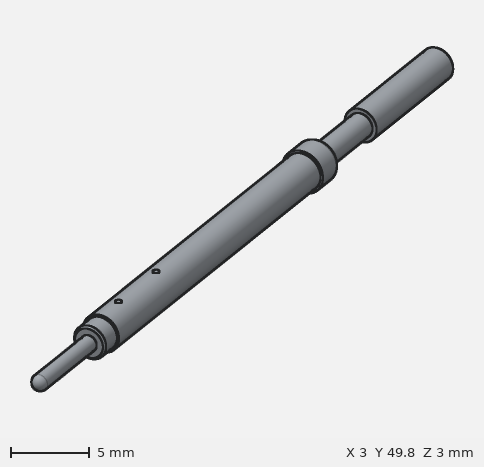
import cadquery as cq
import math


total_length = 49.8
collar_radius = 3.0 / 2

tail_radius = 2.36 / 2
neck_radius = 1.75 / 2
body_radius = 2.65 / 2
nose_radius = 2.36 / 2
plunger_radius = 1.15 / 2

tail_length = 9.5
collar_start = 14.65
collar_end = 16.7
body_end = 41.7
nose_end = 43.2

collar_fillet = 0.4
nose_chamfer = 0.15
tip_height = 0.5

dimple_radius = 0.225
dimple_distances = (34.9, 39.55)


def along(distance):
    """Y of a point at a distance from the tail end; the domed tip is at Y = 0."""
    return total_length - distance


def make_probe():
    """Half profile in the YZ plane, revolved about the Y axis."""
    dome_start = total_length - tip_height
    dome_sphere_radius = (plunger_radius**2 + tip_height**2) / (2 * tip_height)
    half_angle = math.asin(plunger_radius / dome_sphere_radius) / 2
    dome_centre = total_length - dome_sphere_radius
    dome_middle = (
        along(dome_centre + dome_sphere_radius * math.cos(half_angle)),
        dome_sphere_radius * math.sin(half_angle),
    )
    profile = (
        cq.Workplane("YZ")
        .moveTo(along(0), 0)
        .lineTo(along(0), tail_radius)
        .lineTo(along(tail_length), tail_radius)
        .lineTo(along(tail_length), neck_radius)
        .lineTo(along(collar_start), neck_radius)
        .lineTo(along(collar_start), collar_radius - collar_fillet)
        .radiusArc((along(collar_start + collar_fillet), collar_radius), -collar_fillet)
        .lineTo(along(collar_end), collar_radius)
        .lineTo(along(collar_end), body_radius)
        .lineTo(along(body_end), body_radius)
        .lineTo(along(body_end), nose_radius)
        .lineTo(along(nose_end - nose_chamfer), nose_radius)
        .lineTo(along(nose_end), nose_radius - nose_chamfer)
        .lineTo(along(nose_end), plunger_radius)
        .lineTo(along(dome_start), plunger_radius)
        .threePointArc(dome_middle, (along(total_length), 0))
        .close()
    )
    return profile.revolve(360, (0, 0, 0), (1, 0, 0))


def make_dimple(distance):
    """Ball that presses one round dimple into the body from +Z."""
    centre = (0, along(distance), body_radius)
    return cq.Workplane("XY").sphere(dimple_radius).translate(centre)


result = make_probe()
for dimple_distance in dimple_distances:
    result = result.cut(make_dimple(dimple_distance))